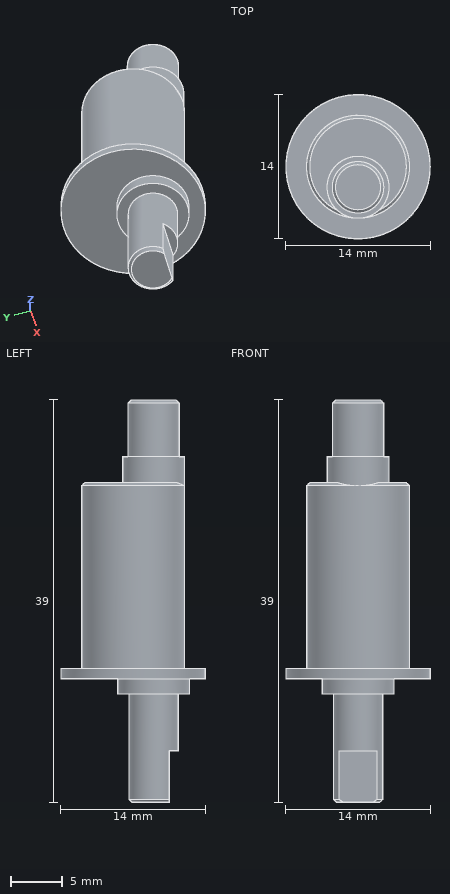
import cadquery as cq

flange_diameter = 14.0
body_diameter = 10.0
boss_diameter = 7.0
collar_diameter = 6.0
pin_diameter = 5.0
shaft_diameter = 4.8

shaft_length = 10.5
boss_length = 1.5
flange_thickness = 1.0
body_length = 18.0
collar_length = 2.5
pin_length = 5.5

flat_length = 5.0
flat_distance = 1.52

edge_chamfer = 0.3

eccentric_y = -(body_diameter - collar_diameter) / 2

boss_bottom = -boss_length
shaft_bottom = boss_bottom - shaft_length
body_bottom = flange_thickness
body_top = body_bottom + body_length
pin_bottom = body_top + collar_length


def cylinder(diameter, length, bottom, y=0):
    """Vertical cylinder standing on the level `bottom`."""
    return cq.Workplane("XY", origin=(0, y, bottom)).circle(diameter / 2).extrude(length)


def flatted_shaft():
    """Lower shaft with a chamfered end and a flat facing -Y."""
    shaft = cylinder(shaft_diameter, shaft_length, shaft_bottom, eccentric_y)
    shaft = shaft.faces("<Z").chamfer(edge_chamfer)
    flat_cutter = (
        cq.Workplane("XY", origin=(0, eccentric_y - flat_distance, shaft_bottom))
        .box(shaft_diameter, shaft_diameter, flat_length, centered=(True, False, False))
        .translate((0, -shaft_diameter, 0))
    )
    return shaft.cut(flat_cutter)


flange = cylinder(flange_diameter, flange_thickness, 0)
body = cylinder(body_diameter, body_length, body_bottom).faces(">Z").chamfer(edge_chamfer)
boss = cylinder(boss_diameter, boss_length, boss_bottom, eccentric_y)
collar = cylinder(
    collar_diameter, collar_length + edge_chamfer, body_top - edge_chamfer, eccentric_y
)
pin = cylinder(pin_diameter, pin_length, pin_bottom, eccentric_y).faces(">Z").chamfer(edge_chamfer)

result = flange.union(body).union(boss).union(flatted_shaft()).union(collar).union(pin)